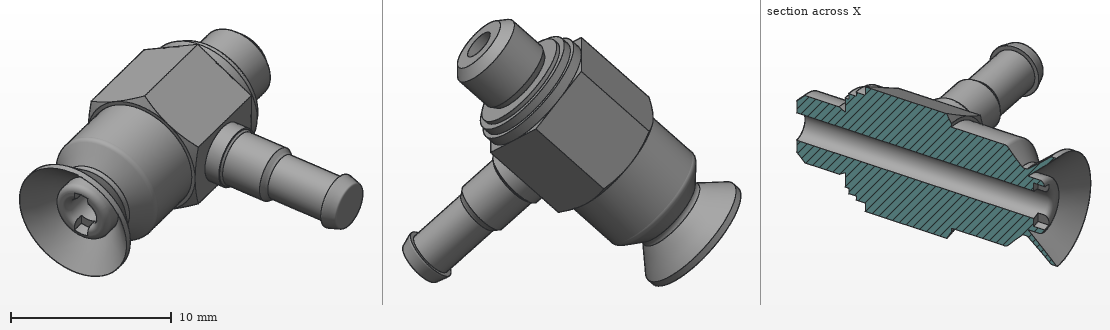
import cadquery as cq
import math

total_length = 19.0
total_width = 17.5
flats_width = 8.0
apothem = flats_width / 2
corner_radius = apothem / math.cos(math.radians(30))

rim_radius = apothem
rim_thickness = 0.44
neck_radius = 2.53
neck_start = 2.15
neck_end = 2.55
neck_dip = 0.04
cup_depth = 2.09

nipple_radius = 2.0
nipple_tip = 0.91
nipple_outer_round = 0.42
nipple_inner_round = 0.36
bore_diameter = 2.0
bore_radius = bore_diameter / 2
slot_width = 0.99
slot_radius = nipple_radius - nipple_outer_round
slot_depth = 0.8

sleeve_diameter = 7.5
sleeve_radius = sleeve_diameter / 2
shoulder_start = 3.57
shoulder_radius = 3.63
shoulder_end = 3.97

hex_sides = 6
corner_step = 2 * math.pi / hex_sides
hex_start = 7.7
hex_end = 14.0
hex_chamfer_angle = math.radians(30)

collar_steps = [(apothem, 14.67), (3.7, 15.2), (3.3, 15.47)]

stud_radius = 2.5
stud_undercut_radius = 2.26
stud_undercut_end = 15.88
stud_tip_radius = 1.9
stud_tip_chamfer = stud_radius - stud_tip_radius

barb_axis_y = 10.8
barb_start = bore_radius
barb_base_radius = 2.0
barb_base_end = 5.04
barb_base_chamfer = 0.1
barb_shank_diameter = 3.6
barb_shank_radius = barb_shank_diameter / 2
barb_shank_start = 5.19
barb_shank_end = 7.95
barb_tube_radius = 1.5
barb_taper_end = 8.23
barb_tube_start = 8.36
barb_taper_radius = 1.58
barb_lip_start = 12.5
barb_lip_radius = 1.79
barb_lip_width = 0.11
barb_end_round = 0.13
barb_cone_end_radius = 1.52
barb_end = total_width - apothem


def around_y(profile):
    """Revolve a closed (radius, Y) outline around the main axis."""
    return profile.close().revolve(360, (0, 0, 0), (0, 1, 0))


def make_body():
    """Turned core from the cup rim to the tip of the stud."""
    neck_middle = (neck_start + neck_end) / 2
    profile = (
        cq.Workplane("XY")
        .moveTo(0, 0)
        .lineTo(rim_radius, 0)
        .lineTo(rim_radius, rim_thickness)
        .lineTo(neck_radius, neck_start)
        .threePointArc((neck_radius - neck_dip, neck_middle), (neck_radius, neck_end))
        .lineTo(shoulder_radius, shoulder_start)
        .tangentArcPoint((sleeve_radius, shoulder_end), relative=False)
        .lineTo(sleeve_radius, hex_end)
    )
    step_start = hex_end
    for radius, step_end in collar_steps:
        profile = profile.lineTo(radius, step_start).lineTo(radius, step_end)
        step_start = step_end
    profile = (
        profile.lineTo(stud_undercut_radius, step_start)
        .lineTo(stud_radius, stud_undercut_end)
        .lineTo(stud_radius, total_length - stud_tip_chamfer)
        .lineTo(stud_tip_radius, total_length)
        .lineTo(0, total_length)
    )
    return around_y(profile)


def make_hexagon():
    """Hexagon with corners toward +Z and -Z, chamfered on the cup side."""
    corners = [
        (corner_radius * math.sin(i * corner_step), corner_radius * math.cos(i * corner_step))
        for i in range(hex_sides)
    ]
    prism = (
        cq.Workplane("XZ", origin=(0, hex_start, 0))
        .polyline(corners)
        .close()
        .extrude(hex_start - hex_end)
    )
    cone_rise = (hex_end - hex_start) * math.tan(hex_chamfer_angle)
    cone_radius = apothem + (hex_end - hex_start)
    envelope = around_y(
        cq.Workplane("XY")
        .moveTo(0, hex_start)
        .lineTo(apothem, hex_start)
        .lineTo(cone_radius, hex_start + cone_rise)
        .lineTo(cone_radius, hex_end)
        .lineTo(0, hex_end)
    )
    return prism.intersect(envelope)


def make_hose_barb():
    """Stepped hose barb along +X, starting inside the hexagon."""
    profile = (
        cq.Workplane("XY", origin=(0, barb_axis_y, 0))
        .moveTo(barb_start, 0)
        .lineTo(barb_start, barb_base_radius)
        .lineTo(barb_base_end, barb_base_radius)
        .lineTo(barb_base_end, barb_base_radius - barb_base_chamfer)
        .lineTo(barb_shank_start, barb_shank_radius)
        .lineTo(barb_shank_end, barb_shank_radius)
        .lineTo(barb_taper_end, barb_taper_radius)
        .lineTo(barb_tube_start, barb_tube_radius)
        .lineTo(barb_lip_start, barb_tube_radius)
        .lineTo(barb_lip_start, barb_lip_radius)
        .lineTo(barb_lip_start + barb_lip_width, barb_lip_radius)
        .lineTo(barb_end, barb_cone_end_radius)
        .lineTo(barb_end, 0)
        .lineTo(barb_start, 0)
    )
    barb = profile.close().revolve(360, (0, 0, 0), (1, 0, 0))
    return barb.faces(">X").edges().fillet(barb_end_round)


def cut_cup(body):
    """Hollow the cup around the nipple, whose tip is rounded outside and inside."""
    diagonal = math.sqrt(0.5)
    outer_round_end = nipple_tip + nipple_outer_round
    inner_edge = bore_radius + nipple_inner_round
    inner_round_end = nipple_tip + nipple_inner_round
    hollow = around_y(
        cq.Workplane("XY")
        .moveTo(0, 0)
        .lineTo(rim_radius, 0)
        .lineTo(nipple_radius, cup_depth)
        .lineTo(nipple_radius, outer_round_end)
        .threePointArc(
            (slot_radius + nipple_outer_round * diagonal, outer_round_end - nipple_outer_round * diagonal),
            (slot_radius, nipple_tip),
        )
        .lineTo(inner_edge, nipple_tip)
        .threePointArc(
            (inner_edge - nipple_inner_round * diagonal, inner_round_end - nipple_inner_round * diagonal),
            (bore_radius, inner_round_end),
        )
        .lineTo(0, inner_round_end)
    )
    return body.cut(hollow)


def cut_bore(body):
    """Through bore along the main axis."""
    bore = cq.Workplane("XZ").circle(bore_radius).extrude(-total_length)
    return body.cut(bore)


def cut_slot(body):
    """Screwdriver slot across the nipple, with round ends inside its rim."""
    start = cq.Workplane("XZ", origin=(0, nipple_tip, 0))
    disc = start.circle(slot_radius).extrude(-slot_depth)
    bar = start.rect(slot_width, 2 * slot_radius).extrude(-slot_depth)
    return body.cut(disc.intersect(bar))


fitting = make_body().union(make_hexagon()).union(make_hose_barb())
fitting = cut_cup(fitting)
fitting = cut_bore(fitting)
result = cut_slot(fitting)